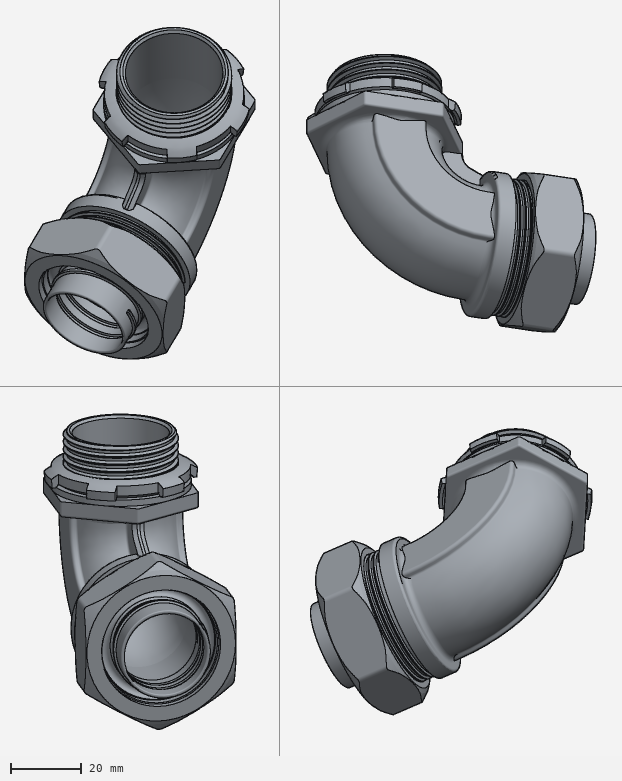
import cadquery as cq
import math


OVERALL_LENGTH = 81.7

TUBE_RADIUS = 16.3
BORE_RADIUS = 13.8
BEND_RADIUS = 25.8
PAD_FACE_X = 16.5
PAD_HALF_WIDTH = 7.7
PAD_EDGE_ROUND = 1.0
ROOT_ROUND = 0.7
SHOULDER_OFFSET = 27.7
SHOULDER_ROUND = SHOULDER_OFFSET - BEND_RADIUS

HEX_APOTHEM = 20.0
HEX_TOP_Z = 32.35
HEX_CORNER_ROUND = 0.8
HEX_CORNER_REACH = (HEX_APOTHEM - HEX_CORNER_ROUND) / math.cos(math.pi / 6) + HEX_CORNER_ROUND
HEX_EDGE_ROUND = 0.65
SPOUT_TOP_Z = 48.7
SPOUT_ROOT_RADIUS = 15.4
SPOUT_CREST_RADIUS = 16.3
SPOUT_PITCH = 2.2
SPOUT_RIDGE_WIDTH = 1.55
SPOUT_THREAD_Z = 35.45
SPOUT_THREAD_TURNS = 6
SPOUT_MOUTH_CHAMFER = 0.7

FLANGE_RADIUS = 20.8
FLANGE_FRONT = 32.8
FLANGE_EDGE_ROUND = 0.8
NECK_ROOT_RADIUS = 18.95
NECK_CREST_RADIUS = 19.6
NECK_FRONT = 44.1
NECK_RIDGE_WIDTH = 1.2
NECK_THREAD_START = 33.5
NECK_THREAD_TURNS = 5
NECK_THREAD_LENGTH = 8.0
NECK_PITCH = NECK_THREAD_LENGTH / NECK_THREAD_TURNS
CREST_WIDTH = 0.25
THREAD_CLEARANCE = 0.1

RIB_HALF_WIDTH = 1.7
RIB_CREST_HALF_WIDTH = 0.4
RIB_CREST_ARC = 4.1
RIB_ROOT_HEIGHT = 1.6
RIB_ROOT_DEPTH = 1.6
RIB_END_Y = -31.3
RIB_SLOPE = math.radians(26)
CORNER_SLOPE = math.radians(30)

WASHER_RADIUS = 20.0
WASHER_TOP_Z = 34.2
LOCKNUT_BORE_RADIUS = SPOUT_CREST_RADIUS + THREAD_CLEARANCE
LOCKNUT_TOP_Z = 39.2
LOCKNUT_SEAT_RADIUS = 18.0
LOCKNUT_RING_RADIUS = 19.8
LOCKNUT_RING_Z = 35.4
DOME_MID_RADIUS = 19.0
DOME_MID_Z = 38.65
LUG_TIP_INNER_RADIUS = 20.6
LUG_TIP_OUTER_RADIUS = 21.6
LUG_TIP_Z = 34.4
LUG_EDGE_Z = 37.0
LUG_RADIUS = 21.8
LUG_WIDTH = 8.4
LUG_COUNT = 6
LUG_TURN = 2.0
LUG_CORNER_ROUND = 0.4

NUT_APOTHEM = 21.8
NUT_BACK = 38.1
NUT_FRONT = 52.5
NUT_CORNER_ROUND = 1.6
NUT_FACE_RADIUS = 21.6
NUT_EDGE_DEPTH = 0.8
NUT_EDGE_RADIUS = 22.9
NUT_CONE_DEPTH = 2.8
NUT_CONE_RADIUS = 25.0
NUT_LIP_BACK = 50.4
NUT_LIP_RADIUS = 17.2
NUT_CAVITY_RADIUS = NECK_CREST_RADIUS + THREAD_CLEARANCE

FERRULE_FRONT = OVERALL_LENGTH - HEX_CORNER_REACH
FERRULE_BORE_RADIUS = 12.0
SLEEVE_WALL = 1.0
SLEEVE_RADIUS = FERRULE_BORE_RADIUS + SLEEVE_WALL
SLEEVE_RIM_ROUND = 0.4
TROUGH_ROUND = 1.5
TROUGH_INNER_RADIUS = 13.65
TROUGH_OUTER_RADIUS = TROUGH_INNER_RADIUS + 2 * TROUGH_ROUND
TROUGH_BOTTOM = 45.75
CUP_FRONT = 47.9
CUP_RADIUS = 18.8
ROLL_PITCH = 4.1
ROLL_END = 53.75
ROLL_END_ANGLE = 30.0
RIDGE_TURNS = 1.4
GROOVE_TURNS = 2.1
RIDGE_RADIUS = 13.65
GROOVE_RADIUS = 12.6
ROLL_WIDTH = 1.6
ROLL_CREST_WIDTH = 0.8
GLAND_BORE_RADIUS = 16.8

EMBED = 0.2
REACH = 49.0


def facing_conduit(shape):
    """Turn a shape built along +Z so that it points along -Y, keeping X."""
    return shape.rotate((0, 0, 0), (1, 0, 0), 90)


def ring(inner, outer, bottom, top):
    body = cq.Workplane("XY").workplane(offset=bottom).circle(outer)
    if inner > 0:
        body = body.circle(inner)
    return body.extrude(top - bottom)


def revolved(points):
    return cq.Workplane("XZ").polyline(points).close().revolve(360, (0, 0), (0, 1))


def helical_band(base_radius, tip_radius, base_width, tip_width, pitch, turns, start_z, start_angle=0.0):
    """A right-handed helical band of trapezoid section around +Z, starting at start_angle."""
    helix = cq.Wire.makeHelix(pitch, pitch * turns, base_radius)
    section = cq.Workplane("XZ").polyline([
        (base_radius, -base_width / 2),
        (tip_radius, -tip_width / 2),
        (tip_radius, tip_width / 2),
        (base_radius, base_width / 2),
    ]).close()
    band = section.sweep(cq.Workplane(helix), isFrenet=True)
    return band.rotate((0, 0, 0), (0, 0, 1), start_angle).translate((0, 0, start_z))


def hexagon(apothem, bottom, top, corner_round):
    """A hexagonal prism along Z with corners at local +Y and -Y."""
    across_corners = 2 * apothem / math.cos(math.pi / 6)
    body = cq.Workplane("XY").workplane(offset=bottom).polygon(6, across_corners).extrude(top - bottom)
    return body.edges("|Z").fillet(corner_round).rotate((0, 0, 0), (0, 0, 1), 90)


def shoulder():
    """A straight run along Z from the bend that flares out into the face it meets."""
    return (
        cq.Workplane("XZ")
        .moveTo(0, BEND_RADIUS)
        .lineTo(TUBE_RADIUS, BEND_RADIUS)
        .radiusArc((TUBE_RADIUS + SHOULDER_ROUND, SHOULDER_OFFSET), SHOULDER_ROUND)
        .lineTo(0, SHOULDER_OFFSET)
        .close()
        .revolve(360, (0, 0), (0, 1))
    )


class RootCorners(cq.Selector):
    """Picks the inner corners where the pads and the rib leave the tube circle."""

    def filter(self, candidates):
        return [
            corner for corner in candidates
            if math.isclose(math.hypot(corner.X, corner.Y), TUBE_RADIUS, abs_tol=0.0001)
            and abs(corner.Y) > RIB_HALF_WIDTH / 2
        ]


def elbow_section():
    """Tube section with the two side pads and the rib root blended in; local +X is away from the rib."""
    rib_root_reach = TUBE_RADIUS + RIB_ROOT_HEIGHT
    pads = cq.Sketch().rect(2 * PAD_HALF_WIDTH, 2 * PAD_FACE_X).vertices().fillet(PAD_EDGE_ROUND)
    rib_root = cq.Sketch().push([(-rib_root_reach / 2, 0)]).rect(rib_root_reach, 2 * RIB_HALF_WIDTH)
    return (
        cq.Sketch()
        .circle(TUBE_RADIUS)
        .face(pads)
        .face(rib_root)
        .clean()
        .vertices(RootCorners())
        .fillet(ROOT_ROUND)
    )


def elbow():
    """The bend with its pads, run straight into the hexagon and the flange."""
    section = elbow_section()
    bend_start = cq.Workplane(cq.Plane((0, 0, BEND_RADIUS), (0, 1, 0), (0, 0, 1))).placeSketch(section)
    curve = bend_start.revolve(90, (-BEND_RADIUS, 0), (-BEND_RADIUS, 1))
    upper_run = bend_start.extrude(SHOULDER_ROUND)
    bend_end = cq.Workplane(cq.Plane((0, -BEND_RADIUS, 0), (0, 0, -1), (0, -1, 0))).placeSketch(section)
    front_run = bend_end.extrude(SHOULDER_ROUND)
    body = curve.union(upper_run).union(front_run)
    return body.union(shoulder()).union(facing_conduit(shoulder()))


def rib():
    """Gusset from the hexagon corner down to the flange, with a ridged crest."""
    corner_y = -HEX_CORNER_REACH
    turn = math.pi / 2 - RIB_SLOPE
    arc_end_y = corner_y - RIB_CREST_ARC * (1 - math.cos(turn))
    arc_end_z = SHOULDER_OFFSET - RIB_CREST_ARC * math.sin(turn)
    end_z = arc_end_z + (RIB_END_Y - arc_end_y) * math.tan(RIB_SLOPE)
    root = BEND_RADIUS - TUBE_RADIUS + RIB_ROOT_DEPTH
    web = (
        cq.Workplane("YZ")
        .moveTo(corner_y, SHOULDER_OFFSET + EMBED)
        .lineTo(corner_y, SHOULDER_OFFSET)
        .radiusArc((arc_end_y, arc_end_z), RIB_CREST_ARC)
        .lineTo(RIB_END_Y, end_z)
        .lineTo(RIB_END_Y, BEND_RADIUS - root)
        .lineTo(-BEND_RADIUS, BEND_RADIUS - root)
        .radiusArc((-BEND_RADIUS + root, BEND_RADIUS), -root)
        .lineTo(-BEND_RADIUS + root, SHOULDER_OFFSET + EMBED)
        .close()
        .extrude(RIB_HALF_WIDTH, both=True)
    )
    drop = RIB_HALF_WIDTH - RIB_CREST_HALF_WIDTH
    crest = web.faces("<X or >X").edges(cq.selectors.BoxSelector(
        (-REACH, RIB_END_Y + EMBED, end_z), (REACH, corner_y + EMBED, SHOULDER_OFFSET)
    ))
    return crest.chamfer(drop, drop * math.tan(CORNER_SLOPE))


def passage():
    """The bore through the elbow, chamfered at the spout mouth."""
    spout_bore = ring(0, BORE_RADIUS, BEND_RADIUS, SPOUT_TOP_Z)
    mouth_chamfer = revolved([
        (0, SPOUT_TOP_Z),
        (BORE_RADIUS + SPOUT_MOUTH_CHAMFER, SPOUT_TOP_Z),
        (BORE_RADIUS, SPOUT_TOP_Z - SPOUT_MOUTH_CHAMFER),
        (0, SPOUT_TOP_Z - SPOUT_MOUTH_CHAMFER),
    ])
    bend_start = cq.Workplane("XY").workplane(offset=BEND_RADIUS).circle(BORE_RADIUS)
    bend_bore = bend_start.revolve(90, (0, -BEND_RADIUS), (-1, -BEND_RADIUS))
    neck_bore = facing_conduit(ring(0, BORE_RADIUS, BEND_RADIUS, NECK_FRONT))
    return bend_bore.union(spout_bore).union(mouth_chamfer).union(neck_bore)


def spout_thread():
    """Box-end thread ridge, trimmed by the chamfered top of the spout."""
    crest_height = SPOUT_CREST_RADIUS - SPOUT_ROOT_RADIUS
    limit = ring(0, SPOUT_CREST_RADIUS + EMBED, HEX_TOP_Z, SPOUT_TOP_Z)
    limit = limit.faces(">Z").edges().chamfer(crest_height + EMBED)
    ridge = helical_band(
        SPOUT_ROOT_RADIUS - EMBED, SPOUT_CREST_RADIUS, SPOUT_RIDGE_WIDTH, CREST_WIDTH,
        SPOUT_PITCH, SPOUT_THREAD_TURNS, SPOUT_THREAD_Z,
    )
    return ridge.intersect(limit)


def neck_thread():
    return facing_conduit(helical_band(
        NECK_ROOT_RADIUS - EMBED, NECK_CREST_RADIUS, NECK_RIDGE_WIDTH, CREST_WIDTH,
        NECK_PITCH, NECK_THREAD_TURNS, NECK_THREAD_START,
    ))


def housing_body():
    hex_flange = hexagon(HEX_APOTHEM, SHOULDER_OFFSET, HEX_TOP_Z, HEX_CORNER_ROUND)
    hex_flange = hex_flange.faces("<Z").edges().fillet(HEX_EDGE_ROUND)
    round_flange = ring(0, FLANGE_RADIUS, SHOULDER_OFFSET, FLANGE_FRONT)
    round_flange = round_flange.faces("<Z").edges().fillet(FLANGE_EDGE_ROUND)
    neck = ring(0, NECK_ROOT_RADIUS, FLANGE_FRONT, NECK_FRONT)
    spout = ring(0, SPOUT_ROOT_RADIUS, HEX_TOP_Z, SPOUT_TOP_Z)

    body = elbow().union(rib())
    body = body.union(hex_flange).union(spout)
    body = body.union(facing_conduit(round_flange)).union(facing_conduit(neck))
    body = body.cut(passage())
    return body.union(spout_thread(), clean=False).union(neck_thread(), clean=False)


def washer_body():
    return ring(SPOUT_ROOT_RADIUS, WASHER_RADIUS, HEX_TOP_Z, WASHER_TOP_Z)


def locknut_body():
    """A dished ring whose rim is cut into lugs that bend down over the washer."""
    dished = (
        cq.Workplane("XZ")
        .moveTo(LOCKNUT_BORE_RADIUS, WASHER_TOP_Z)
        .lineTo(LOCKNUT_SEAT_RADIUS, WASHER_TOP_Z)
        .lineTo(LOCKNUT_RING_RADIUS, LOCKNUT_RING_Z)
        .lineTo(LUG_TIP_INNER_RADIUS, LUG_TIP_Z)
        .lineTo(LUG_TIP_OUTER_RADIUS, LUG_TIP_Z)
        .lineTo(LUG_RADIUS, LUG_EDGE_Z)
        .threePointArc((DOME_MID_RADIUS, DOME_MID_Z), (LOCKNUT_BORE_RADIUS, LOCKNUT_TOP_Z))
        .close()
        .revolve(360, (0, 0), (0, 1))
    )
    return dished.cut(notches())


def notches():
    """The rim outside the locknut ring, less the lugs."""
    rim = ring(LOCKNUT_RING_RADIUS, REACH, WASHER_TOP_Z, LOCKNUT_TOP_Z)
    lug = (
        cq.Workplane("XY")
        .workplane(offset=WASHER_TOP_Z)
        .center(LUG_RADIUS / 2, 0)
        .rect(LUG_RADIUS, LUG_WIDTH)
        .extrude(LOCKNUT_TOP_Z - WASHER_TOP_Z)
        .edges("|Z and >X")
        .fillet(LUG_CORNER_ROUND)
    )
    for index in range(LUG_COUNT):
        rim = rim.cut(lug.rotate((0, 0, 0), (0, 0, 1), LUG_TURN + index * 360 / LUG_COUNT))
    return rim


def nut_body():
    """A hexagon nut with coned corners, a smooth cavity over the neck thread and a front lip."""
    envelope = revolved([
        (0, NUT_BACK),
        (NUT_FACE_RADIUS, NUT_BACK),
        (NUT_EDGE_RADIUS, NUT_BACK + NUT_EDGE_DEPTH),
        (NUT_CONE_RADIUS, NUT_BACK + NUT_CONE_DEPTH),
        (NUT_CONE_RADIUS, NUT_FRONT - NUT_CONE_DEPTH),
        (NUT_EDGE_RADIUS, NUT_FRONT - NUT_EDGE_DEPTH),
        (NUT_FACE_RADIUS, NUT_FRONT),
        (0, NUT_FRONT),
    ])
    nut = hexagon(NUT_APOTHEM, NUT_BACK, NUT_FRONT, NUT_CORNER_ROUND).intersect(envelope)
    nut = nut.cut(ring(0, NUT_CAVITY_RADIUS, NUT_BACK, NUT_LIP_BACK))
    lip_bore = ring(0, NUT_LIP_RADIUS, NUT_LIP_BACK, NUT_FRONT)
    return facing_conduit(nut.cut(lip_bore))


def gland_ring_body():
    """A plain ring clamped between the ferrule cup and the nut lip."""
    return facing_conduit(ring(GLAND_BORE_RADIUS, NUT_CAVITY_RADIUS, CUP_FRONT, NUT_LIP_BACK))


def ferrule_body():
    """A sleeve with a rolled thread, rising from a cup with a round-bottomed trough."""
    trough_centre = TROUGH_BOTTOM + TROUGH_ROUND
    ferrule = (
        cq.Workplane("XZ")
        .moveTo(FERRULE_BORE_RADIUS, NECK_FRONT)
        .lineTo(CUP_RADIUS, NECK_FRONT)
        .lineTo(CUP_RADIUS, CUP_FRONT)
        .lineTo(TROUGH_OUTER_RADIUS, CUP_FRONT)
        .lineTo(TROUGH_OUTER_RADIUS, trough_centre)
        .radiusArc((TROUGH_INNER_RADIUS, trough_centre), TROUGH_ROUND)
        .lineTo(SLEEVE_RADIUS, CUP_FRONT)
        .lineTo(SLEEVE_RADIUS, FERRULE_FRONT)
        .lineTo(FERRULE_BORE_RADIUS, FERRULE_FRONT)
        .close()
        .revolve(360, (0, 0), (0, 1))
        .faces(">Z")
        .edges()
        .fillet(SLEEVE_RIM_ROUND)
    )
    ridge = helical_band(
        SLEEVE_RADIUS - EMBED, RIDGE_RADIUS, ROLL_WIDTH, ROLL_CREST_WIDTH, ROLL_PITCH, RIDGE_TURNS,
        ROLL_END - ROLL_PITCH * RIDGE_TURNS, ROLL_END_ANGLE - 360 * RIDGE_TURNS,
    )
    groove = helical_band(
        FERRULE_BORE_RADIUS - EMBED, GROOVE_RADIUS, ROLL_WIDTH, ROLL_CREST_WIDTH, ROLL_PITCH, GROOVE_TURNS,
        ROLL_END - ROLL_PITCH * GROOVE_TURNS, ROLL_END_ANGLE - 360 * GROOVE_TURNS,
    )
    return facing_conduit(ferrule.union(ridge).cut(groove))


housing = housing_body()
washer = washer_body()
locknut = locknut_body()
nut = nut_body()
gland_ring = gland_ring_body()
ferrule = ferrule_body()

result = cq.Compound.makeCompound([
    housing.solids().val(),
    washer.solids().val(),
    locknut.solids().val(),
    nut.solids().val(),
    gland_ring.solids().val(),
    ferrule.solids().val(),
])